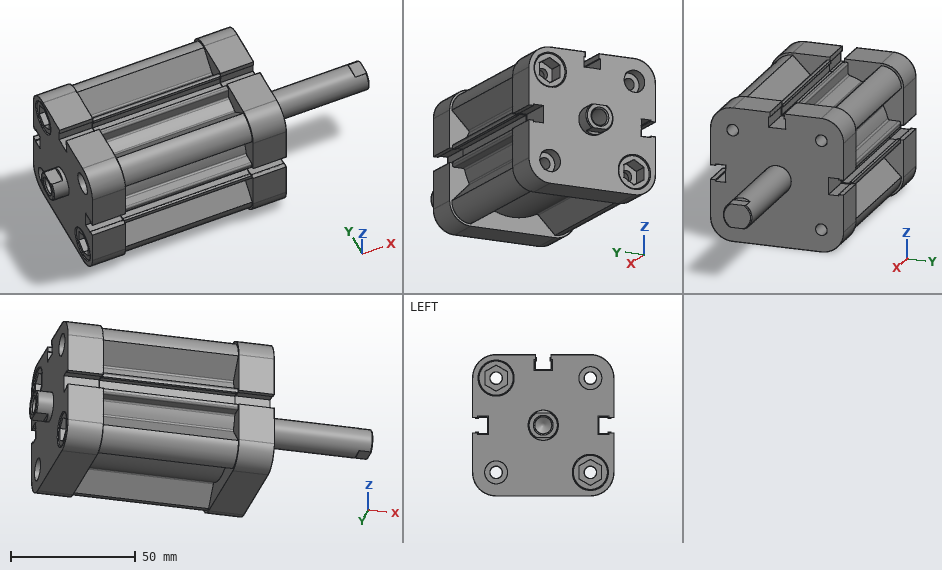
import cadquery as cq
import math

total_length = 140.0
rod_tail = 6.9
cap_length = 14.7
barrel_length = 56.5
cap_end_x = rod_tail + cap_length
barrel_end_x = cap_end_x + barrel_length
body_length = barrel_length + 2 * cap_length

cap_width = 57.0
cap_half = cap_width / 2
corner_radius = 9.5
hole_offset = cap_half - corner_radius

tube_radius = 22.4
barrel_inset = 1.0
post_radius = corner_radius - barrel_inset
rail_drop = 1.3
rail_top = cap_half - rail_drop
rail_half_width = 4.8
rail_fillet = 0.8
post_fillet = 0.8

slot_lip_half = 3.1
slot_half = 3.6
slot_lip_depth = 2.1
slot_depth = 6.5
slot_step = 0.4
slot_angles = (0, 90, -90)

through_diameter = 4.9
counterbore_diameter = 9.2
counterbore_depth = 5.0

plug_diameter = 13.7
plug_clearance = 0.4
plug_recess = 0.4
plug_length = 9.8
hex_across_flats = 9.1
hex_depth = 7.0

rod_diameter = 12.2
flat_width = 10.0
flat_length = 5.2
shoulder_slope = 0.3
tip_chamfer = 0.4
thread_diameter = 6.9
thread_depth = 14.0
thread_mouth = 8.0
drill_point_angle = 118
drill_cone_height = thread_diameter / 2 / math.tan(math.radians(drill_point_angle / 2))
mouth_depth = (thread_mouth - thread_diameter) / 2


def section(x):
    """Sketch plane across the axis at x, with local axes along Y and Z."""
    return cq.Workplane("YZ", origin=(x, 0, 0))


def around_axis(shape, angle):
    return shape.rotate((0, 0, 0), (1, 0, 0), angle)


def slot_cutter(x, length, inset):
    """T-slot on the +Z side, its outline shrunk by inset."""
    lip = slot_lip_half - inset
    wide = slot_half - inset
    lip_z = cap_half - slot_lip_depth - inset
    floor_z = cap_half - slot_depth + inset
    outline = [(lip, cap_half), (lip, lip_z), (wide, lip_z), (wide, floor_z)]
    mirrored = [(-y, z) for y, z in reversed(outline)]
    return section(x).polyline(outline + mirrored).close().extrude(length)


def end_cap(x):
    cap = section(x).rect(cap_width, cap_width).extrude(cap_length)
    cap = cap.edges("|X").fillet(corner_radius)
    for angle in slot_angles:
        cap = cap.cut(around_axis(slot_cutter(x, cap_length, 0), angle))
    return cap


def corner_post():
    """Post at the (+Y, +Z) corner: round outside, with two 45 degree flanks."""
    crest = hole_offset + post_radius
    mid = hole_offset + post_radius * math.sqrt(0.5)
    width = crest - hole_offset
    return (
        section(cap_end_x)
        .moveTo(hole_offset, crest)
        .threePointArc((mid, mid), (crest, hole_offset))
        .lineTo(width, 0)
        .lineTo(0, 0)
        .lineTo(0, width)
        .close()
        .extrude(barrel_length)
    )


def rail():
    """Rail on the +Z side, rounded on its two outer edges."""
    return (
        section(cap_end_x)
        .center(0, rail_top / 2)
        .rect(2 * rail_half_width, rail_top)
        .extrude(barrel_length)
        .edges("|X and >Z")
        .fillet(rail_fillet)
    )


def near_radius(shape, radius, tolerance=0.1):
    """Lengthwise edges lying at the given distance from the axis."""
    return shape.edges("|X").filter(
        lambda edge: abs(math.hypot(edge.Center().y, edge.Center().z) - radius) < tolerance
    )


def barrel():
    shape = section(cap_end_x).circle(tube_radius).extrude(barrel_length)
    for quarter in range(4):
        shape = shape.union(around_axis(corner_post(), 90 * quarter))
    for angle in slot_angles:
        shape = shape.union(around_axis(rail(), angle))
    shape = near_radius(shape, tube_radius).fillet(post_fillet)
    for angle in slot_angles:
        shape = shape.cut(around_axis(slot_cutter(cap_end_x, barrel_length, slot_step), angle))
    return shape


plug_corners = [(hole_offset, hole_offset), (-hole_offset, -hole_offset)]
open_corners = [(-hole_offset, hole_offset), (hole_offset, -hole_offset)]


def make_housing():
    """Barrel and both end caps, with the rod bore and the corner holes."""
    housing = barrel().union(end_cap(rod_tail)).union(end_cap(barrel_end_x))
    start = section(rod_tail)
    bore = start.circle(rod_diameter / 2).extrude(body_length)
    holes = start.pushPoints(plug_corners + open_corners).circle(through_diameter / 2).extrude(body_length)
    counterbores = start.pushPoints(open_corners).circle(counterbore_diameter / 2).extrude(counterbore_depth)
    recess_radius = plug_diameter / 2 + plug_clearance
    recesses = start.pushPoints(plug_corners).circle(recess_radius).extrude(plug_recess + plug_length)
    return housing.cut(bore).cut(holes).cut(counterbores).cut(recesses)


def make_plug(corner):
    """Cylindrical plug with a hexagon socket and a hole right through."""
    base = section(rod_tail + plug_recess).center(*corner)
    plug = base.circle(plug_diameter / 2).extrude(plug_length)
    hex_across_corners = hex_across_flats / math.cos(math.pi / 6)
    upright = base.transformed(rotate=(0, 0, 30))
    socket = upright.polygon(6, hex_across_corners).extrude(hex_depth)
    hole = base.circle(through_diameter / 2).extrude(plug_length)
    return plug.cut(socket).cut(hole)


def flat_cutter():
    """Cuts the upper flat at the tail end, down to the sloping shoulder behind it."""
    flat_z = flat_width / 2
    top_z = rod_diameter / 2
    return (
        cq.Workplane("XZ")
        .polyline([
            (0, flat_z),
            (flat_length, flat_z),
            (flat_length + shoulder_slope, top_z),
            (0, top_z),
        ])
        .close()
        .extrude(rod_diameter / 2, both=True)
    )


def make_rod():
    """Piston rod with wrench flats at both ends and a drilled hole in its tail."""
    rod = section(0).circle(rod_diameter / 2).extrude(total_length)
    rod = rod.faces("<X or >X").chamfer(tip_chamfer)
    upper_flat = flat_cutter()
    tail_flats = upper_flat.union(upper_flat.mirror("XY"))
    tip_flats = tail_flats.mirror("YZ", (total_length / 2, 0, 0))
    rod = rod.cut(tail_flats).cut(tip_flats)
    drill = (
        cq.Workplane("XY")
        .polyline([
            (0, 0),
            (0, thread_mouth / 2),
            (mouth_depth, thread_diameter / 2),
            (thread_depth, thread_diameter / 2),
            (thread_depth + drill_cone_height, 0),
        ])
        .close()
        .revolve(360, (0, 0, 0), (1, 0, 0))
    )
    return rod.cut(drill)


housing = make_housing()
rod = make_rod()
plugs = [make_plug(corner) for corner in plug_corners]

result = cq.Compound.makeCompound([housing.val(), rod.val(), *[plug.val() for plug in plugs]])